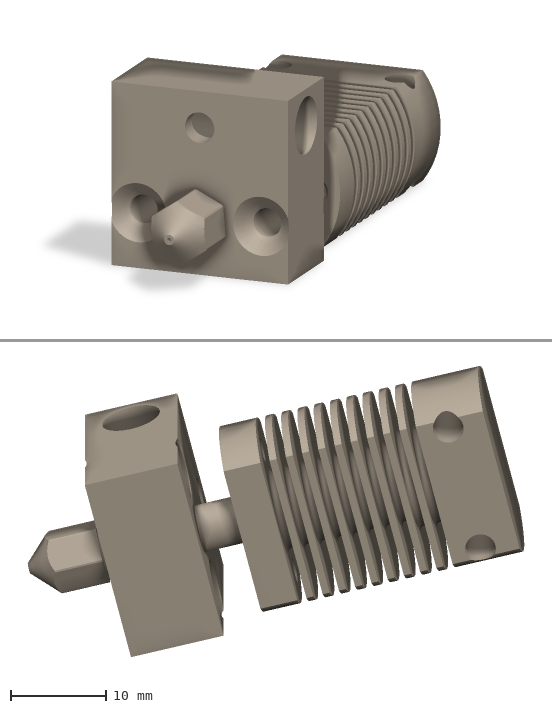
import cadquery as cq
import math

TOTAL_LENGTH = 51.0

SINK_LENGTH = 28.0
SINK_RADIUS = 10.0
SINK_HEIGHT = 12.05
REAR_FLANGE = 7.25
FRONT_FLANGE = 4.0
FIN_COUNT = 9
FIN_THICKNESS = 0.75
SLOT_COUNT = FIN_COUNT + 1
SLOT_WIDTH = (SINK_LENGTH - REAR_FLANGE - FRONT_FLANGE - FIN_COUNT * FIN_THICKNESS) / SLOT_COUNT
WIDE_CORE_SLOTS = 2
WIDE_CORE_RADIUS = 5.0
CORE_RADIUS = 4.1
MOUNT_HOLE_DIAMETER = 3.2
MOUNT_HOLE_DEPTH = 4.0

SCREW_SPACING = 13.95
TAP_DIAMETER = 2.55
TAP_MOUTH_DIAMETER = 3.3

BLOCK_GAP = 4.5
BLOCK_WIDTH = 20.0
BLOCK_LENGTH = 10.0
BLOCK_REAR = SINK_LENGTH + BLOCK_GAP
BLOCK_FRONT = BLOCK_REAR + BLOCK_LENGTH
BLOCK_MIDDLE = (BLOCK_REAR + BLOCK_FRONT) / 2
HEATER_DIAMETER = 6.2
HEATER_HEIGHT = 10.0
CLAMP_HOLE_DIAMETER = 3.3
SCREW_CLEARANCE_DIAMETER = 3.1
COUNTERSINK_DIAMETER = 6.45
SENSOR_DIAMETER = 2.55
SENSOR_DEPTH = 5.0
SENSOR_POINT_ANGLE = 118.0
UPPER_SENSOR_OFFSET = 3.0
UPPER_SENSOR_HEIGHT = 6.0
LOWER_SENSOR_OFFSET = 1.5
LOWER_SENSOR_HEIGHT = 3.35

TUBE_RADIUS = 2.5
TUBE_REAR = SINK_LENGTH - FRONT_FLANGE
SET_SCREW_DEPTH = SINK_LENGTH - FRONT_FLANGE / 2
NOTCH_LENGTH = 1.0

HEX_GAP = 0.5
NECK_RADIUS = 2.35
NECK_LENGTH = 0.2
HEX_ACROSS_FLATS = 6.0
HEX_CORNER_RADIUS = 3.4
HEX_TURN = 4.6
TIP_RADIUS = 0.55
ORIFICE_DIAMETER = 0.4
HEX_REAR = BLOCK_FRONT + HEX_GAP

FRONTWARD = cq.Vector(0, -1, 0)
REARWARD = cq.Vector(0, 1, 0)
DOWNWARD = cq.Vector(0, 0, -1)
RIGHTWARD = cq.Vector(1, 0, 0)


def rod(radius, start, length, direction):
    """Cylinder from a start point (x, depth, z)."""
    x, depth, z = start
    return cq.Solid.makeCylinder(radius, length, cq.Vector(x, -depth, z), direction)


def cone(start_radius, end_radius, start, length, direction):
    """Cone frustum from a start point (x, depth, z)."""
    x, depth, z = start
    return cq.Solid.makeCone(start_radius, end_radius, length, cq.Vector(x, -depth, z), direction)


def chamfer_cone(mouth_diameter, hole_diameter, start, direction):
    """90 degree countersink that narrows from its mouth to the hole."""
    length = (mouth_diameter - hole_diameter) / 2
    return cone(mouth_diameter / 2, hole_diameter / 2, start, length, direction)


def fin_slot(rear_depth, core_radius):
    """Ring around the axis with a full-round bottom that touches the core radius."""
    rear = -rear_depth
    front = rear - SLOT_WIDTH
    outside = SINK_RADIUS + SLOT_WIDTH
    round_edge = core_radius + SLOT_WIDTH / 2
    return (
        cq.Workplane("XY")
        .moveTo(outside, rear)
        .lineTo(round_edge, rear)
        .threePointArc((core_radius, (rear + front) / 2), (round_edge, front))
        .lineTo(outside, front)
        .close()
        .revolve(360, (0, 0, 0), (0, 1, 0))
    )


def make_heatsink():
    body = cq.Workplane("XZ").circle(SINK_RADIUS).extrude(SINK_LENGTH)
    flats = cq.Workplane("XZ").rect(2 * SINK_RADIUS, SINK_HEIGHT).extrude(SINK_LENGTH)
    body = body.intersect(flats)
    for index in range(SLOT_COUNT):
        depth = REAR_FLANGE + index * (SLOT_WIDTH + FIN_THICKNESS)
        core_radius = WIDE_CORE_RADIUS if index < WIDE_CORE_SLOTS else CORE_RADIUS
        body = body.cut(fin_slot(depth, core_radius))

    top = SINK_HEIGHT / 2
    for x in (-SCREW_SPACING / 2, SCREW_SPACING / 2):
        body = body.cut(rod(MOUNT_HOLE_DIAMETER / 2, (x, MOUNT_HOLE_DEPTH, top), SINK_HEIGHT, DOWNWARD))
        mouth = (x, SINK_LENGTH, 0)
        body = body.cut(rod(TAP_DIAMETER / 2, mouth, FRONT_FLANGE, REARWARD))
        body = body.cut(chamfer_cone(TAP_MOUTH_DIAMETER, TAP_DIAMETER, mouth, REARWARD))

    mouth = (0, SET_SCREW_DEPTH, top)
    body = body.cut(rod(TAP_DIAMETER / 2, mouth, top, DOWNWARD))
    body = body.cut(chamfer_cone(TAP_MOUTH_DIAMETER, TAP_DIAMETER, mouth, DOWNWARD))

    return body.cut(rod(TUBE_RADIUS, (0, TUBE_REAR, 0), FRONT_FLANGE, FRONTWARD))


def make_heat_break():
    tube = rod(TUBE_RADIUS, (0, TUBE_REAR, 0), BLOCK_MIDDLE - TUBE_REAR, FRONTWARD)
    notch_start = (0, SET_SCREW_DEPTH, 0)
    notch = rod(TUBE_RADIUS, notch_start, NOTCH_LENGTH, FRONTWARD)
    notch = notch.cut(cone(TUBE_RADIUS, TUBE_RADIUS - NOTCH_LENGTH, notch_start, NOTCH_LENGTH, FRONTWARD))
    return cq.Workplane(tube.cut(notch))


def sensor_hole(offset, z):
    """Blind drilled hole with a conical point, entering the -X side of the block."""
    radius = SENSOR_DIAMETER / 2
    point_length = radius / math.tan(math.radians(SENSOR_POINT_ANGLE / 2))
    side = -BLOCK_WIDTH / 2
    depth = BLOCK_MIDDLE + offset
    bore = rod(radius, (side, depth, z), SENSOR_DEPTH, RIGHTWARD)
    return bore.fuse(cone(radius, 0, (side + SENSOR_DEPTH, depth, z), point_length, RIGHTWARD))


def make_heater_block():
    bottom = -SINK_HEIGHT / 2
    side = -BLOCK_WIDTH / 2
    block = (
        cq.Workplane("XY")
        .box(BLOCK_WIDTH, BLOCK_LENGTH, BLOCK_WIDTH, centered=(True, True, False))
        .translate((0, -BLOCK_MIDDLE, bottom))
    )
    block = block.cut(rod(TUBE_RADIUS, (0, BLOCK_REAR, 0), BLOCK_LENGTH, FRONTWARD))
    heater_start = (side, BLOCK_MIDDLE, HEATER_HEIGHT)
    block = block.cut(rod(HEATER_DIAMETER / 2, heater_start, BLOCK_WIDTH, RIGHTWARD))
    clamp_start = (0, BLOCK_REAR, HEATER_HEIGHT)
    block = block.cut(rod(CLAMP_HOLE_DIAMETER / 2, clamp_start, BLOCK_LENGTH, FRONTWARD))

    for x in (-SCREW_SPACING / 2, SCREW_SPACING / 2):
        rear = (x, BLOCK_REAR, 0)
        front = (x, BLOCK_FRONT, 0)
        block = block.cut(rod(SCREW_CLEARANCE_DIAMETER / 2, rear, BLOCK_LENGTH, FRONTWARD))
        block = block.cut(chamfer_cone(COUNTERSINK_DIAMETER, SCREW_CLEARANCE_DIAMETER, rear, FRONTWARD))
        block = block.cut(chamfer_cone(COUNTERSINK_DIAMETER, SCREW_CLEARANCE_DIAMETER, front, REARWARD))

    for way in (-1, 1):
        block = block.cut(sensor_hole(way * UPPER_SENSOR_OFFSET, UPPER_SENSOR_HEIGHT))
        block = block.cut(sensor_hole(way * LOWER_SENSOR_OFFSET, LOWER_SENSOR_HEIGHT))
    return block


def make_nozzle():
    head_length = TOTAL_LENGTH - HEX_REAR
    hexagon = (
        cq.Workplane("XZ", origin=(0, -HEX_REAR, 0))
        .polygon(6, HEX_ACROSS_FLATS, circumscribed=True)
        .extrude(head_length)
        .rotate((0, 0, 0), (0, -1, 0), HEX_TURN)
    )
    tip_length = HEX_CORNER_RADIUS - TIP_RADIUS
    tip_start = TOTAL_LENGTH - tip_length
    envelope = rod(HEX_CORNER_RADIUS, (0, HEX_REAR, 0), tip_start - HEX_REAR, FRONTWARD)
    envelope = envelope.fuse(cone(HEX_CORNER_RADIUS, TIP_RADIUS, (0, tip_start, 0), tip_length, FRONTWARD))
    head = hexagon.intersect(cq.Workplane(envelope))

    stem = rod(TUBE_RADIUS, (0, BLOCK_MIDDLE, 0), BLOCK_FRONT - BLOCK_MIDDLE, FRONTWARD)
    neck = rod(NECK_RADIUS, (0, BLOCK_FRONT, 0), NECK_LENGTH, FRONTWARD)
    flare_start = (0, BLOCK_FRONT + NECK_LENGTH, 0)
    flare_length = HEX_GAP - NECK_LENGTH
    flare = cone(NECK_RADIUS, NECK_RADIUS + flare_length, flare_start, flare_length, FRONTWARD)
    shank = stem.fuse(neck, flare)

    orifice_length = TOTAL_LENGTH - BLOCK_MIDDLE
    orifice = rod(ORIFICE_DIAMETER / 2, (0, BLOCK_MIDDLE, 0), orifice_length, FRONTWARD)
    return head.union(cq.Workplane(shank)).cut(orifice)


heatsink = make_heatsink()
heat_break = make_heat_break()
heater_block = make_heater_block()
nozzle = make_nozzle()

result = cq.Compound.makeCompound(
    [body.solids().val() for body in (heatsink, heat_break, heater_block, nozzle)]
)